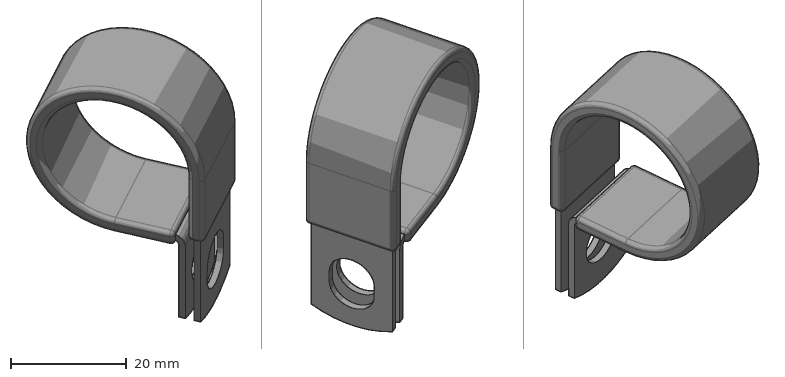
import cadquery as cq
import math

outer_diameter = 32.6
sleeve_thickness = 2.85
sleeve_width = 17.45
edge_radius = 0.8
overall_height = 51.15
lower_leg_end = 10.9
front_lug_inner_x = 11.45
bend_inner_radius = 1.05
hole_diameter = 8.75
slot_length = 11.0
hole_z = -25.3
lug_tip_drop = 1.7
seam_tolerance = 0.005

outer_radius = outer_diameter / 2
inner_radius = outer_radius - sleeve_thickness
strap_outer_radius = outer_radius - edge_radius
strap_inner_radius = inner_radius + edge_radius
strap_thickness = strap_outer_radius - strap_inner_radius
strap_width = sleeve_width - 2 * edge_radius
side_leg_end = -inner_radius - edge_radius
lug_bottom = outer_radius - overall_height
lug_side_bottom = lug_bottom + lug_tip_drop
bend_outer_radius = bend_inner_radius + strap_thickness
bend_start_x = front_lug_inner_x - bend_inner_radius
front_lug_outer_x = front_lug_inner_x + strap_thickness


def extrude_centered(outline, width):
    """Extrude an XZ outline symmetrically about Y = 0."""
    return outline.extrude(width / 2, both=True)


def is_tangent_seam(edge):
    """True for an edge where a leg runs smoothly into the loop."""
    center = edge.Center()
    return min(abs(center.x), abs(center.z)) < seam_tolerance


def make_sleeve():
    """Three-quarter loop with a straight leg at each end, all edges rounded."""
    diagonal = math.sqrt(0.5)
    outline = (
        cq.Workplane("XZ")
        .moveTo(outer_radius, side_leg_end)
        .lineTo(outer_radius, 0)
        .threePointArc((-outer_radius * diagonal, outer_radius * diagonal), (0, -outer_radius))
        .lineTo(lower_leg_end, -outer_radius)
        .lineTo(lower_leg_end, -inner_radius)
        .lineTo(0, -inner_radius)
        .threePointArc((-inner_radius * diagonal, inner_radius * diagonal), (inner_radius, 0))
        .lineTo(inner_radius, side_leg_end)
        .close()
    )
    blank = extrude_centered(outline, sleeve_width)
    seams = [edge for edge in blank.edges("|Y").vals() if is_tangent_seam(edge)]
    return blank.newObject([edge for edge in blank.edges().vals() if edge not in seams]).fillet(edge_radius)


def make_front_lug():
    """Strap leaving the lower leg and bending down through a right angle."""
    outline = (
        cq.Workplane("XZ")
        .moveTo(0, -strap_inner_radius)
        .lineTo(bend_start_x, -strap_inner_radius)
        .radiusArc((front_lug_outer_x, -strap_inner_radius - bend_outer_radius), bend_outer_radius)
        .lineTo(front_lug_outer_x, lug_bottom)
        .lineTo(front_lug_inner_x, lug_bottom)
        .lineTo(front_lug_inner_x, -strap_outer_radius - bend_inner_radius)
        .radiusArc((bend_start_x, -strap_outer_radius), -bend_inner_radius)
        .lineTo(0, -strap_outer_radius)
        .close()
    )
    return extrude_centered(outline, strap_width)


def make_back_lug():
    """Flat strap continuing straight down from the side leg."""
    outline = (
        cq.Workplane("XZ")
        .moveTo(strap_inner_radius, 0)
        .lineTo(strap_outer_radius, 0)
        .lineTo(strap_outer_radius, lug_bottom)
        .lineTo(strap_inner_radius, lug_bottom)
        .close()
    )
    return extrude_centered(outline, strap_width)


def make_lug_envelope(opening):
    """Block along X with the arc-shaped lower end and the bolt opening of a lug."""
    half_width = strap_width / 2
    block = (
        cq.Workplane("YZ")
        .moveTo(-half_width, 0)
        .lineTo(-half_width, lug_side_bottom)
        .threePointArc((0, lug_bottom), (half_width, lug_side_bottom))
        .lineTo(half_width, 0)
        .close()
        .extrude(outer_radius)
    )
    return block.cut(opening)


opening_center = cq.Workplane("YZ").center(0, hole_z)
bolt_hole = opening_center.circle(hole_diameter / 2).extrude(outer_radius)
bolt_slot = opening_center.slot2D(slot_length, hole_diameter, 90).extrude(outer_radius)
front_lug = make_front_lug().intersect(make_lug_envelope(bolt_hole))
back_lug = make_back_lug().intersect(make_lug_envelope(bolt_slot))
result = make_sleeve().union(front_lug).union(back_lug)